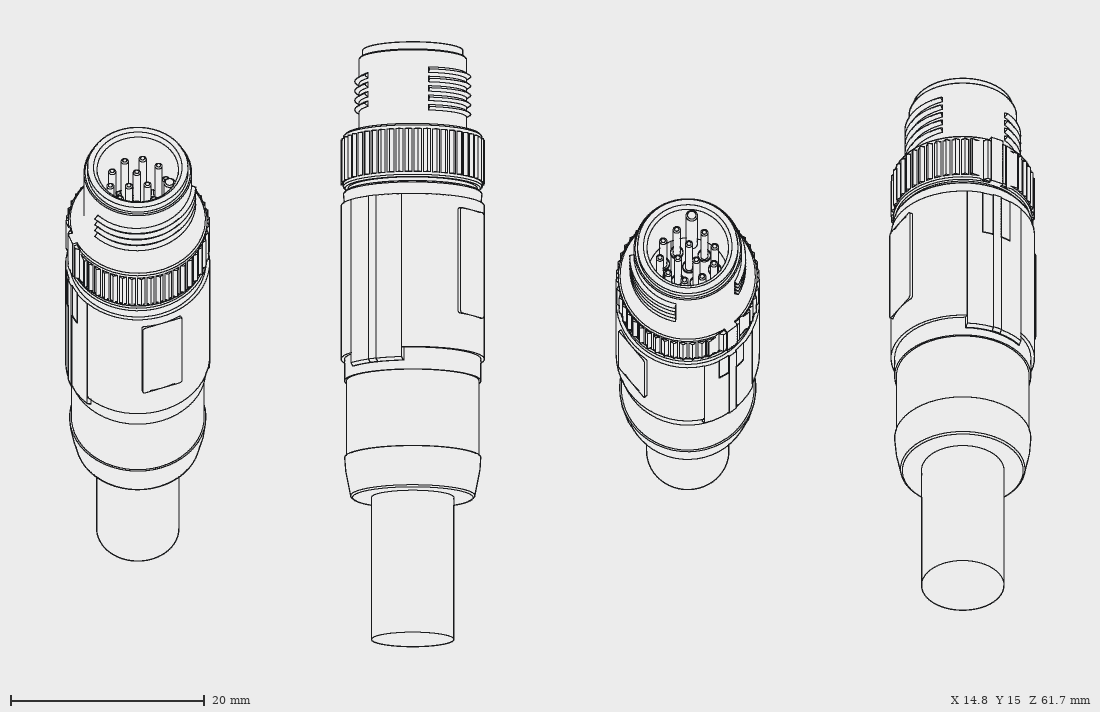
import cadquery as cq
import math

cable_bottom = 0.0
cap_bottom = 14.9
cap_top = 19.05
sleeve_top = 27.1
body_bottom = 29.4
body_top = 45.4
lip_top = 46.8
nut_bottom = 47.25
nut_top = 52.8
rim_step = 60.9
rim_top = 61.7

cable_radius = 4.25
cap_end_radius = 6.4
cap_middle_radius = 6.85
cap_radius = 7.05
sleeve_radius = 6.85
shoulder_radius = 7.05
body_radius = 7.4
lip_radius = 7.15
neck_radius = 6.65
nut_radius = 7.15
plug_radius = 5.55
rim_radius = 5.2
bore_radius = 4.2

edge_chamfer = 0.2
rim_chamfer = 0.1
plug_fillet = 0.4

tab_radius = body_radius + 0.03
tab_width = 6.3
tab_bottom = 28.0
tab_chamfer = 0.3
tab_inner_reach = 6.2
tab_rib_radius = body_radius + 0.09
tab_rib_width = 0.9
arrow_width = 3.2
arrow_bottom = 40.35
arrow_radius = tab_radius - 0.05

plate_width = 4.3
plate_bottom = 33.2
plate_top = 44.25
plate_corner_radius = 0.3

knurl_radius = 7.4
knurl_count = 47
knurl_bottom = 47.75
knurl_top = 52.25
tooth_root_radius = 7.1
marker_flat = 6.9
marker_half_angle = 22.0
marker_base_width = 2.7
marker_top_width = 2.1
marker_height = 0.4
pointer_width = 1.35

thread_pitch = 1.0
thread_tip_radius = 6.0
thread_start_height = 54.65
thread_turns = 4.5
thread_root_width = 0.75
thread_embed = 0.1
left_thread_half_angle = 39.0
right_thread_half_angle = 68.0

bore_floor = 52.7
bore_chamfer = 0.4
pin_radius = 0.4
pin_chamfer = 0.155
pin_top = 59.5
pin_recess_radius = 0.65
pin_recess_depth = 0.4
outer_pin_circle = 2.9
outer_pin_count = 9
outer_pin_step = 37.6
inner_pin_circle = 1.1
inner_pin_count = 3
key_angle = 45.0
key_radius = 0.585
key_circle = bore_radius - key_radius
key_top = 61.2


def polar(radius, angle):
    """Point at a radius and an angle in degrees."""
    return radius * math.cos(math.radians(angle)), radius * math.sin(math.radians(angle))


def block(x_size, y_size, bottom, top):
    """Box centred on the Z axis between two heights."""
    return cq.Workplane("XY").workplane(offset=bottom).rect(x_size, y_size).extrude(top - bottom)


def cylinder(radius, bottom, top):
    return cq.Workplane("XY").workplane(offset=bottom).circle(radius).extrude(top - bottom)


def turned_body():
    """All round sections from the cable to the plug rim, as one revolved profile."""
    fillet_middle = (
        plug_radius + plug_fillet * (1 - math.sqrt(0.5)),
        nut_top + plug_fillet * (1 - math.sqrt(0.5)),
    )
    return (
        cq.Workplane("XZ")
        .moveTo(0, cable_bottom)
        .lineTo(cable_radius, cable_bottom)
        .lineTo(cable_radius, cap_bottom)
        .lineTo(cap_end_radius - edge_chamfer, cap_bottom)
        .lineTo(cap_end_radius, cap_bottom + edge_chamfer)
        .threePointArc((cap_middle_radius, (cap_bottom + cap_top) / 2), (cap_radius, cap_top))
        .lineTo(sleeve_radius, cap_top)
        .lineTo(sleeve_radius, sleeve_top)
        .lineTo(shoulder_radius, sleeve_top)
        .lineTo(shoulder_radius, body_bottom)
        .lineTo(body_radius, body_bottom)
        .lineTo(body_radius, body_top)
        .lineTo(shoulder_radius, body_top)
        .lineTo(lip_radius, lip_top - edge_chamfer)
        .lineTo(lip_radius - edge_chamfer, lip_top)
        .lineTo(neck_radius, lip_top)
        .lineTo(neck_radius, nut_bottom)
        .lineTo(nut_radius - edge_chamfer, nut_bottom)
        .lineTo(nut_radius, nut_bottom + edge_chamfer)
        .lineTo(nut_radius, nut_top - edge_chamfer)
        .lineTo(nut_radius - edge_chamfer, nut_top)
        .lineTo(plug_radius + plug_fillet, nut_top)
        .threePointArc(fillet_middle, (plug_radius, nut_top + plug_fillet))
        .lineTo(plug_radius, rim_step - rim_chamfer)
        .lineTo(plug_radius - rim_chamfer, rim_step)
        .lineTo(rim_radius, rim_step)
        .lineTo(rim_radius, rim_top)
        .lineTo(0, rim_top)
        .close()
        .revolve(360, (0, 0, 0), (0, 1, 0))
    )


def tab_layer(width, radius, bottom):
    """Pair of curved plates of one width on both Y sides, up to the top of the body."""
    layer = cylinder(radius, bottom, body_top).faces("<Z").chamfer(tab_chamfer)
    layer = layer.intersect(block(width, 2 * radius, bottom, body_top))
    return layer.cut(block(width, 2 * tab_inner_reach, bottom, body_top))


def tab_arrow():
    """Thin curved layer to take off the -Y tab at its upper end."""
    shell = cylinder(tab_radius, arrow_bottom, body_top).cut(
        cylinder(arrow_radius, arrow_bottom, body_top)
    )
    front = block(arrow_width, tab_radius, arrow_bottom, body_top).translate((0, -tab_radius, 0))
    return shell.intersect(front)


def label_plates():
    """Flat plates on both X sides, touching the body's outermost line at their middle."""
    return (
        block(2 * body_radius, plate_width, plate_bottom, plate_top)
        .edges("|X")
        .fillet(plate_corner_radius)
    )


def knurl_teeth():
    """Pointed teeth around the nut that stop beside the flat; returned as a list."""
    pitch_angle = 360 / knurl_count
    corner_places = (
        (neck_radius, -pitch_angle / 2),
        (tooth_root_radius, -pitch_angle / 2),
        (knurl_radius, 0),
        (tooth_root_radius, pitch_angle / 2),
        (neck_radius, pitch_angle / 2),
    )
    teeth = []
    for index in range(knurl_count):
        turn = (index + 0.5) * pitch_angle
        if min(turn, 360 - turn) < marker_half_angle:
            continue
        corners = [polar(radius, turn - 90 + angle) for radius, angle in corner_places]
        tooth = cq.Workplane("XY").workplane(offset=knurl_bottom).polyline(corners).close()
        teeth.append(tooth.extrude(knurl_top - knurl_bottom))
    return teeth


def knurl_shoulder():
    """Smooth full-radius stretch of the knurl on both sides of the flat."""
    ring = cylinder(knurl_radius, knurl_bottom, knurl_top)
    ring = ring.cut(cylinder(neck_radius, knurl_bottom, knurl_top))
    reach = 2 * knurl_radius
    half_width = knurl_radius * math.sin(math.radians(marker_half_angle))
    stretch = block(2 * half_width, reach, knurl_bottom, knurl_top).translate((0, -reach / 2, 0))
    return ring.intersect(stretch)


def marker_flat_cut():
    """Space in front of the flat on the -Y side of the nut."""
    depth = knurl_radius
    space = block(2 * knurl_radius, depth, nut_bottom, nut_top)
    return space.translate((0, -marker_flat - depth / 2, 0))


def nut_marker():
    """Bevelled rib on the flat, with a narrow full-height pointer along its middle."""
    rib_bottom = nut_bottom + edge_chamfer
    rib_top = nut_top - 2 * edge_chamfer
    rib = (
        cq.Workplane("XY")
        .workplane(offset=rib_bottom)
        .moveTo(-marker_base_width / 2, -neck_radius)
        .lineTo(-marker_base_width / 2, -marker_flat)
        .lineTo(-marker_top_width / 2, -marker_flat - marker_height)
        .lineTo(marker_top_width / 2, -marker_flat - marker_height)
        .lineTo(marker_base_width / 2, -marker_flat)
        .lineTo(marker_base_width / 2, -neck_radius)
        .close()
        .extrude(rib_top - rib_bottom)
    )
    pointer_depth = knurl_radius - neck_radius
    pointer = block(pointer_width, pointer_depth, nut_bottom, nut_top)
    return rib.union(pointer.translate((0, -neck_radius - pointer_depth / 2, 0)))


def sector(middle_angle, half_angle):
    """Wedge around the Z axis that spans an angle on both sides of a middle angle."""
    reach = 2 * thread_tip_radius
    corners = [(0, 0)]
    for part in (-1, -0.5, 0, 0.5, 1):
        corners.append(polar(reach, middle_angle + part * half_angle))
    return cq.Workplane("XY").polyline(corners).close().extrude(rim_top)


def thread():
    """Right-handed V ridge, kept only in one sector on each X side."""
    path = cq.Workplane(
        cq.Wire.makeHelix(thread_pitch, thread_pitch * thread_turns, plug_radius)
    )
    ridge = (
        cq.Workplane("XZ")
        .polyline(
            [
                (plug_radius - thread_embed, -thread_root_width / 2),
                (thread_tip_radius, 0),
                (plug_radius - thread_embed, thread_root_width / 2),
            ]
        )
        .close()
        .sweep(path, isFrenet=True)
    )
    ridge = ridge.rotate((0, 0, 0), (0, 0, 1), 90).translate((0, 0, thread_start_height))
    left = ridge.intersect(sector(180, left_thread_half_angle))
    right = ridge.intersect(sector(0, right_thread_half_angle))
    return left, right


def bore():
    """Chamfered socket bore."""
    mouth_radius = bore_radius + bore_chamfer
    return (
        cq.Workplane("XZ")
        .moveTo(0, bore_floor)
        .lineTo(bore_radius, bore_floor)
        .lineTo(bore_radius, rim_top - bore_chamfer)
        .lineTo(mouth_radius, rim_top)
        .lineTo(0, rim_top)
        .close()
        .revolve(360, (0, 0, 0), (0, 1, 0))
    )


def pin_places():
    """Outer contacts leave a gap at the key; the inner ones form a triangle that points to it."""
    places = []
    for index in range(outer_pin_count):
        turn = (index - (outer_pin_count - 1) / 2) * outer_pin_step
        places.append(polar(outer_pin_circle, key_angle + 180 + turn))
    for index in range(inner_pin_count):
        places.append(polar(inner_pin_circle, key_angle + index * 360 / inner_pin_count))
    return places


def pins():
    """Contacts with chamfered tips, rooted below their recesses."""
    bottom = bore_floor - 2 * pin_recess_depth
    return (
        cq.Workplane("XY")
        .workplane(offset=bottom)
        .pushPoints(pin_places())
        .circle(pin_radius)
        .extrude(pin_top - bottom)
        .faces(">Z")
        .chamfer(pin_chamfer)
    )


def pin_recesses():
    return (
        cq.Workplane("XY")
        .workplane(offset=bore_floor - pin_recess_depth)
        .pushPoints(pin_places())
        .circle(pin_recess_radius)
        .extrude(pin_recess_depth)
    )


def coding_key():
    """Round rod against the bore wall."""
    key = cylinder(key_radius, bore_floor - pin_recess_depth, key_top).faces(">Z").chamfer(pin_chamfer)
    x, y = polar(key_circle, key_angle)
    return key.translate((x, y, 0))


result = turned_body().union(label_plates())
result = result.union(tab_layer(tab_width, tab_radius, tab_bottom)).cut(tab_arrow())
result = result.union(tab_layer(tab_rib_width, tab_rib_radius, tab_bottom))
for tooth in knurl_teeth():
    result = result.union(tooth)
result = result.union(knurl_shoulder()).cut(marker_flat_cut()).union(nut_marker())
for thread_section in thread():
    result = result.union(thread_section)
result = result.cut(bore()).cut(pin_recesses()).union(coding_key()).union(pins())